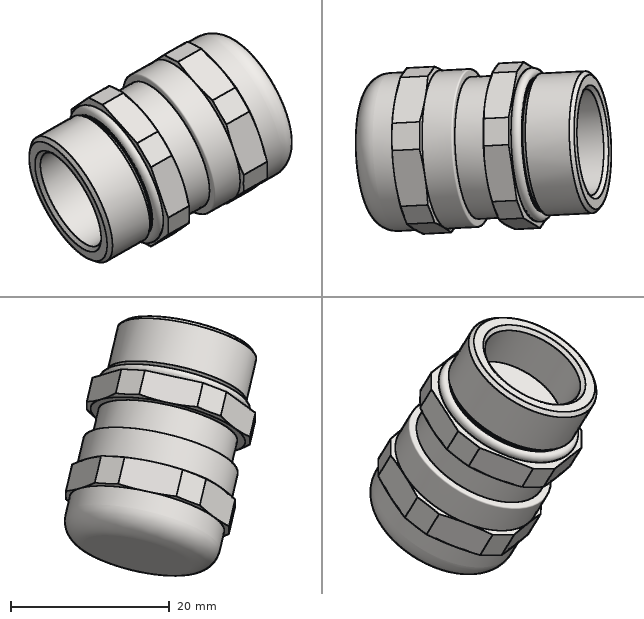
import cadquery as cq
import math


THREAD_END = 6.75
FLANGE_START = 8.0
FLANGE_END = 11.5
CAP_START = 15.52
CAP_HEX_START = 19.52
CAP_HEX_END = 23.5
TOTAL_LENGTH = 29.0

THREAD_RADIUS = 9.0
BODY_RADIUS = THREAD_RADIUS
CAP_RADIUS = 10.0
DOME_RADIUS = 3.0
CAP_RIM_FILLET = 0.2
EDGE_CHAMFER = 0.5

RING_OUTER_RADIUS = 9.75
RING_SECTION_RADIUS = 0.7
RING_CENTER_RADIUS = RING_OUTER_RADIUS - RING_SECTION_RADIUS
RELIEF_RADIUS = THREAD_RADIUS - EDGE_CHAMFER

BORE_RADIUS = 6.7
BORE_DEPTH = 6.0

ACROSS_FLATS = 2 * CAP_RADIUS
ACROSS_CUT_CORNERS = 21.08
FLANGE_BEVEL_ANGLE = 22.0
CAP_BEVEL_ANGLE = 15.0


def cylinder(start, end, radius):
    """Solid cylinder on the Y axis between two stations."""
    return cq.Workplane("XZ", origin=(0, start, 0)).circle(radius).extrude(start - end)


def hexagon(start, end, across_flats, turn):
    """Hexagonal prism on the Y axis; turn is in degrees about that axis."""
    corner_circle = across_flats / math.cos(math.radians(30))
    prism = cq.Workplane("XZ", origin=(0, start, 0)).polygon(6, corner_circle).extrude(start - end)
    return prism.rotate((0, 0, 0), (0, 1, 0), turn)


def wrench_hexagon(start, end, bevel_angle, bevel_start):
    """Hexagon with cut corners, coned off at its far end and, with bevel_start, at its near end too."""
    prism = hexagon(start, end, ACROSS_FLATS, 0)
    prism = prism.intersect(hexagon(start, end, ACROSS_CUT_CORNERS, 30))
    bevel_radius = ACROSS_FLATS / 2
    outer_radius = ACROSS_CUT_CORNERS / 2 / math.cos(math.radians(30))
    bevel_length = (outer_radius - bevel_radius) * math.tan(math.radians(bevel_angle))
    outline = cq.Workplane("XY").moveTo(0, start)
    if bevel_start:
        outline = outline.lineTo(bevel_radius, start).lineTo(outer_radius, start + bevel_length)
    else:
        outline = outline.lineTo(outer_radius, start)
    outline = outline.lineTo(outer_radius, end - bevel_length).lineTo(bevel_radius, end).lineTo(0, end)
    return prism.intersect(outline.close().revolve(360, (0, 0, 0), (0, 1, 0)))


def threaded_end():
    return cylinder(0, THREAD_END, THREAD_RADIUS).edges().chamfer(EDGE_CHAMFER)


def sealing_ring():
    """Ring resting on the thread end and pressed slightly into the flange."""
    ring_middle = THREAD_END + RING_SECTION_RADIUS
    section = cq.Workplane("XY").center(-RING_CENTER_RADIUS, ring_middle).circle(RING_SECTION_RADIUS)
    return section.revolve(360, (RING_CENTER_RADIUS, 0, 0), (RING_CENTER_RADIUS, 1, 0))


def cap():
    body = cylinder(CAP_START, TOTAL_LENGTH, CAP_RADIUS)
    body = body.faces(">Y").edges().fillet(DOME_RADIUS)
    body = body.faces("<Y").edges().fillet(CAP_RIM_FILLET)
    return body.union(wrench_hexagon(CAP_HEX_START, CAP_HEX_END, CAP_BEVEL_ANGLE, True))


def bore():
    mouth_radius = BORE_RADIUS + EDGE_CHAMFER
    return (
        cq.Workplane("XY")
        .lineTo(mouth_radius, 0)
        .lineTo(BORE_RADIUS, EDGE_CHAMFER)
        .lineTo(BORE_RADIUS, BORE_DEPTH)
        .lineTo(0, BORE_DEPTH)
        .close()
        .revolve(360, (0, 0, 0), (0, 1, 0))
    )


result = (
    threaded_end()
    .union(cylinder(THREAD_END, FLANGE_START, RELIEF_RADIUS))
    .union(sealing_ring())
    .union(wrench_hexagon(FLANGE_START, FLANGE_END, FLANGE_BEVEL_ANGLE, False))
    .union(cylinder(FLANGE_END, CAP_START, BODY_RADIUS))
    .union(cap())
    .cut(bore())
)